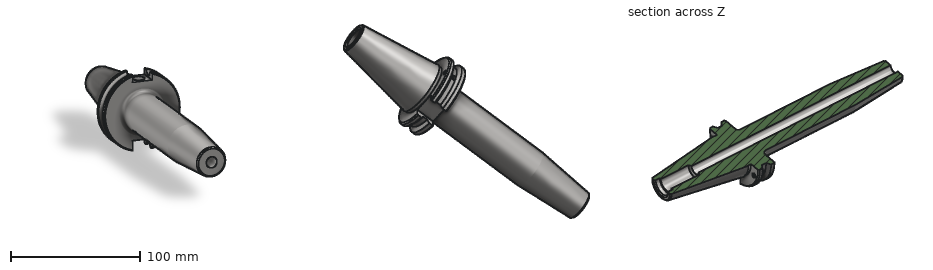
import cadquery as cq
import math

length = 228.2
gauge_x = 68.2
relief_x = 69.8
flange_front = 71.2
flange_back = 87.2
groove_x = 79.2
nose_start = 177.8

taper_small_dia = 24.7
taper_large_dia = 44.5
relief_dia = 43.5
flange_dia = 63.5
groove_dia = 56.1
shank_dia = 32.0
nose_dia = 24.2

taper_chamfer = 1.0
flange_chamfer = 1.1
rear_chamfer = 0.7
nose_chamfer = 1.1
root_fillet = 3.2
groove_floor_width = 3.9
groove_flank_angle = 30.0

mouth_dia = 18.5
pilot_dia = 16.2
pilot_depth = 5.0
thread_dia = 13.5
thread_end = 32.0
passage_dia = 9.0
drill_half_angle = 59.0

slot_width = 16.2
upper_slot_floor = 25.0
lower_slot_floor = -22.4
spot_dia = 9.5

coolant_radius = 27.0
coolant_angle = 20.0
coolant_dia = 4.0
coolant_inner_dia = 3.2
coolant_bottom_radius = 25.5


def drill_tip(diameter):
    """Height of the cone left by a drill of this diameter."""
    return diameter / 2 / math.tan(math.radians(drill_half_angle))


def make_body():
    """Revolve the taper, grooved flange, shank and nose about X."""
    flange_r = flange_dia / 2
    shank_r = shank_dia / 2
    nose_r = nose_dia / 2
    floor_half = groove_floor_width / 2
    groove_depth = (flange_dia - groove_dia) / 2
    flank = groove_depth * math.tan(math.radians(groove_flank_angle))
    mouth_half = floor_half + flank
    profile = (
        cq.Workplane("XY")
        .moveTo(0, 0)
        .lineTo(0, taper_small_dia / 2 - taper_chamfer)
        .lineTo(taper_chamfer, taper_small_dia / 2)
        .lineTo(gauge_x, taper_large_dia / 2)
        .lineTo(relief_x, relief_dia / 2)
        .lineTo(flange_front, relief_dia / 2)
        .lineTo(flange_front, flange_r - flange_chamfer)
        .lineTo(flange_front + flange_chamfer, flange_r)
        .lineTo(groove_x - mouth_half, flange_r)
        .lineTo(groove_x - floor_half, groove_dia / 2)
        .lineTo(groove_x + floor_half, groove_dia / 2)
        .lineTo(groove_x + mouth_half, flange_r)
        .lineTo(flange_back - rear_chamfer, flange_r)
        .lineTo(flange_back, flange_r - rear_chamfer)
        .lineTo(flange_back, shank_r + root_fillet)
        .radiusArc((flange_back + root_fillet, shank_r), -root_fillet)
        .lineTo(nose_start, shank_r)
        .lineTo(length - nose_chamfer, nose_r)
        .lineTo(length, nose_r - nose_chamfer)
        .lineTo(length, 0)
        .close()
    )
    return profile.revolve(360, (0, 0, 0), (1, 0, 0))


def make_bore():
    """Stepped bore from the small end, running through to the nose."""
    mouth_depth = (mouth_dia - pilot_dia) / 2
    cone_end = thread_end + drill_tip(thread_dia) - drill_tip(passage_dia)
    profile = (
        cq.Workplane("XY")
        .moveTo(0, 0)
        .lineTo(0, mouth_dia / 2)
        .lineTo(mouth_depth, pilot_dia / 2)
        .lineTo(pilot_depth, pilot_dia / 2)
        .lineTo(pilot_depth, thread_dia / 2)
        .lineTo(thread_end, thread_dia / 2)
        .lineTo(cone_end, passage_dia / 2)
        .lineTo(length, passage_dia / 2)
        .lineTo(length, 0)
        .close()
    )
    return profile.revolve(360, (0, 0, 0), (1, 0, 0))


def make_slots():
    """Two drive slots of unequal depth across the flange."""
    slots = cq.Workplane("XY")
    for floor, side in ((upper_slot_floor, 1), (lower_slot_floor, -1)):
        slot_height = flange_dia / 2 - abs(floor)
        slots = slots.union(
            cq.Workplane("XY")
            .box(flange_back - flange_front, slot_width, slot_height)
            .translate(((flange_front + flange_back) / 2, 0, floor + side * slot_height / 2))
        )
    return slots


def make_spot():
    """Conical drill spot in the floor of the upper slot."""
    cone = cq.Solid.makeCone(
        spot_dia / 2, 0, drill_tip(spot_dia),
        cq.Vector(groove_x, 0, upper_slot_floor), cq.Vector(0, 0, -1),
    )
    return cq.Workplane(cone)


def make_coolant_hole(angle):
    """Axial hole from the flange face that meets a radial hole in the groove."""
    outward = cq.Vector(0, math.cos(math.radians(angle)), math.sin(math.radians(angle)))
    along = cq.Vector(1, 0, 0)
    entry = outward * coolant_radius + along * flange_front
    sink_depth = (coolant_dia - coolant_inner_dia) / 2
    sink = cq.Solid.makeCone(coolant_dia / 2, coolant_inner_dia / 2, sink_depth, entry, along)
    axial = cq.Solid.makeCylinder(coolant_inner_dia / 2, groove_x - flange_front, entry, along)

    bottom = outward * coolant_bottom_radius + along * groove_x
    radial_length = flange_dia / 2 - coolant_bottom_radius
    radial = cq.Solid.makeCylinder(coolant_dia / 2, radial_length, bottom, outward)
    tip = cq.Solid.makeCone(coolant_dia / 2, 0, drill_tip(coolant_dia), bottom, outward * -1)
    return cq.Workplane(sink).union(axial).union(radial).union(tip)


result = make_body().cut(make_bore()).cut(make_slots()).cut(make_spot())
for hole_angle in (coolant_angle, coolant_angle + 180):
    result = result.cut(make_coolant_hole(hole_angle))